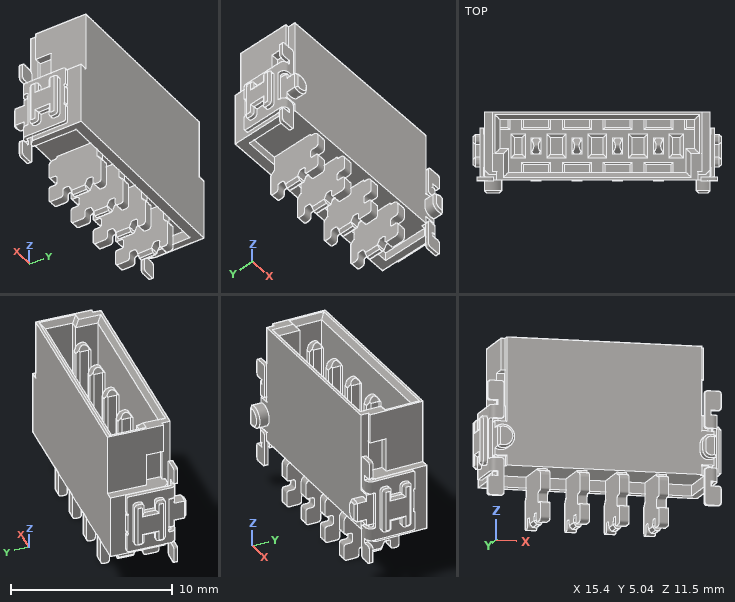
import cadquery as cq
import math


shroud_half_x = 6.48
shroud_half_y = 2.12
shroud_top = 8.8
shell_front_y = -1.59
front_plate_half_x = 6.24
front_plate_bottom = 0.7
side_recess_y = -0.46
side_recess_x = 5.96
side_recess_top = 6.8

ear_half_x = 7.01
ear_front_y = -1.78
ear_top = 4.5
ear_corner = 0.3
channel_back_y = 1.4

rim_half_x = 6.35
rim_key_half_x = 5.82
rim_half_y = 1.95
rim_key_y = -0.48
lead_in = 0.31
lead_in_depth = 0.35
floor_z = 2.78

pitch = 2.53
pin_count = 4
middle_pocket = (1.17, 1.47)
end_pocket_width = 0.9
end_pocket_x = 4.9
middle_pocket_slope = 0.22
middle_pocket_depth = 1.08
edge_pocket_width = 1.8
edge_pocket_y = 1.02
edge_pocket_slope = 0.12
edge_pocket_depth = 0.93

pin_width = 0.62
post_depth = 1.0
post_corner_x = 0.15
post_corner_y = 0.22
embed = 0.15
post_base_height = 0.15
post_top = 8.45
tip_bevel = 0.17
tip_bevel_height = 0.37
tail_bottom = -2.65
tail_front_y = -2.16
tail_back_y = 1.7

clip_bottom = 0.3
clip_z = (ear_top + clip_bottom) / 2
clip_half_z = ear_top - clip_z
sheet = 0.25
ear_gap = 0.03
clip_inner_x = ear_half_x + ear_gap
clip_outer_x = clip_inner_x + sheet
clip_back_y = 1.13
clip_corner = 0.12
clip_front_y = tail_front_y
bend_radius = 0.39
gap_half_z = 1.25
gap_back_y = -1.64
gap_corner = 0.1
foot_inner_x = 6.42
foot_outer_x = 7.47
foot_reach = 3.61
foot_slot_width = 0.3
foot_slot_x = 6.82
foot_round = 0.19

peg_slab_half_z = 1.08
peg_center_x = 6.65
peg_radius = 0.74
peg_length = 0.8
peg_tip_chamfer = 0.15
key_peg_inner_x = 6.13
key_peg_corner = 0.5

pad_half_x = 7.72
pad_half_z = 1.55
pad_back_y = 0.73
pad_front_y = -1.31
pad_leg_width = 0.63
pad_leg_round = 0.23
pad_bar_half_z = 0.85
pad_chamfer = 0.17


def box(x0, x1, y0, y1, z0, z1):
    return cq.Workplane("XY").box(x1 - x0, y1 - y0, z1 - z0, centered=False).translate((x0, y0, z0))


def both_ends(solid):
    return solid.union(solid.mirror("YZ"))


def row(count):
    """X places of a centred row at the pin pitch."""
    return [(i - (count - 1) / 2) * pitch for i in range(count)]


def cavity_outline(z, inset):
    side = rim_half_x - inset
    key = rim_key_half_x - inset
    step = rim_key_y + inset
    back = rim_half_y - inset
    points = [
        (-key, -back), (key, -back), (key, step), (side, step),
        (side, back), (-side, back), (-side, step), (-key, step),
    ]
    return cq.Workplane("XY").workplane(offset=z).polyline(points).close()


def cavity():
    well = cavity_outline(floor_z, lead_in).extrude(shroud_top - floor_z)
    bottom = cavity_outline(shroud_top - lead_in_depth, lead_in).wire().val()
    top = cavity_outline(shroud_top, 0).wire().val()
    return well.union(cq.Workplane(cq.Solid.makeLoft([bottom, top], True)))


def pocket(x, y, size_x, size_y, slope, depth):
    """Tapered pocket, widest at the cavity floor."""
    return (
        cq.Workplane("XY").workplane(offset=floor_z).center(x, y).rect(size_x, size_y)
        .workplane(offset=-depth).rect(size_x - 2 * slope, size_y - 2 * slope)
        .loft(ruled=True)
    )


def floor_pockets():
    size_x, size_y = middle_pocket
    places = [(x, size_x) for x in row(pin_count - 1)]
    places += [(-end_pocket_x, end_pocket_width), (end_pocket_x, end_pocket_width)]
    pockets = [
        pocket(x, 0, width, size_y, middle_pocket_slope, middle_pocket_depth) for x, width in places
    ]

    wall_y = rim_half_y - lead_in
    side_x = rim_half_x - lead_in
    within = box(-side_x, side_x, -wall_y, wall_y, 0, floor_z)
    depth_y = 2 * (wall_y - edge_pocket_y)
    edge = [(x, wall_y) for x in row(pin_count + 2)] + [(x, -wall_y) for x in row(pin_count)]
    for x, y in edge:
        trough = pocket(x, y, edge_pocket_width, depth_y, edge_pocket_slope, edge_pocket_depth)
        pockets.append(trough.intersect(within))
    return pockets


def shroud():
    body = box(-shroud_half_x, shroud_half_x, shell_front_y, shroud_half_y, 0, shroud_top)
    recess = box(side_recess_x, shroud_half_x, shell_front_y, side_recess_y, 0, side_recess_top)
    body = body.cut(both_ends(recess))
    base = box(-ear_half_x, ear_half_x, ear_front_y, shroud_half_y, 0, ear_top)
    base = base.edges("|Z and <Y").chamfer(ear_corner)
    channel = box(-shroud_half_x, shroud_half_x, ear_front_y, channel_back_y, 0, front_plate_bottom)
    front = box(-front_plate_half_x, front_plate_half_x, -shroud_half_y, shell_front_y,
                front_plate_bottom, shroud_top)
    slab = box(-ear_half_x, ear_half_x, -shroud_half_y, ear_front_y + ear_corner,
               clip_z - peg_slab_half_z, clip_z + peg_slab_half_z)
    body = body.union(base).union(front).union(slab).cut(cavity()).cut(channel)
    for recessed in floor_pockets():
        body = body.cut(recessed)
    return body


def pegs():
    """Locating pegs: a cylinder at one end, a narrower keyed shape at the other, flat at the ears."""
    tip_y = -shroud_half_y - peg_length
    low_z, high_z = clip_z - peg_radius, clip_z + peg_radius
    pin_round = (
        cq.Workplane("XZ", origin=(0, -shroud_half_y, 0))
        .pushPoints([(-peg_center_x, clip_z), (peg_center_x, clip_z)]).circle(peg_radius).extrude(peg_length)
    )
    locating = pin_round.intersect(box(-ear_half_x, 0, tip_y, -shroud_half_y, low_z, high_z))
    keyed = box(key_peg_inner_x, peg_center_x, tip_y, -shroud_half_y, low_z, high_z)
    keyed = keyed.edges("|Y and <X").fillet(key_peg_corner)
    keyed = keyed.union(pin_round.intersect(
        box(peg_center_x, ear_half_x, tip_y, -shroud_half_y, low_z, high_z)
    ))
    return [peg.faces("<Y").chamfer(peg_tip_chamfer) for peg in (locating, keyed)]


def post():
    """Contact post: rectangular base, bevelled corners, and a rounded tip thinned in X."""
    side = pin_width / 2
    edge = post_depth / 2
    base = box(-side, side, -edge, edge, floor_z - embed, floor_z + post_base_height)
    flat_x, flat_y = side - post_corner_x, edge - post_corner_y
    blade = (
        cq.Workplane("XY").workplane(offset=floor_z)
        .polyline([
            (flat_x, -edge), (side, -flat_y), (side, flat_y), (flat_x, edge),
            (-flat_x, edge), (-side, flat_y), (-side, -flat_y), (-flat_x, -edge),
        ])
        .close().extrude(post_top - floor_z)
    )
    shoulder_y, ridge_y = 0.31, 0.03
    edge_drop, shoulder_drop = 0.55, 0.23
    arc_y, arc_drop = 0.19, 0.08
    edge_z, shoulder_z, arc_z = post_top - edge_drop, post_top - shoulder_drop, post_top - arc_drop
    round_tip = (
        cq.Workplane("YZ").moveTo(-edge, floor_z).lineTo(-edge, edge_z).lineTo(-shoulder_y, shoulder_z)
        .threePointArc((-arc_y, arc_z), (-ridge_y, post_top)).lineTo(ridge_y, post_top)
        .threePointArc((arc_y, arc_z), (shoulder_y, shoulder_z)).lineTo(edge, edge_z)
        .lineTo(edge, floor_z).close().extrude(side, both=True)
    )
    thin_tip = (
        cq.Workplane("XZ")
        .polyline([
            (-side, floor_z), (-side, post_top - tip_bevel_height), (-side + tip_bevel, post_top),
            (side - tip_bevel, post_top), (side, post_top - tip_bevel_height), (side, floor_z),
        ])
        .close().extrude(edge, both=True)
    )
    return base.union(blade.intersect(round_tip).intersect(thin_tip))


def edge_near(y, z):
    """Selector for the pin edge that runs along X at the given Y and Z."""
    reach = 0.02
    return cq.selectors.BoxSelector((-reach, y - reach, z - reach), (reach, y + reach, z + reach))


def tail():
    """Flat solder tail: two legs, a short tab between them and a notch in front."""
    neck_y = channel_back_y
    back_shoulder, back_slope_end = -0.51, -0.82
    leg_inner_y = 1.11
    crotch_z = -2.0
    tab_half_y, tab_root_half_y, tab_slope_z = 0.51, 0.68, -2.4
    prong_top, prong_bottom, root_y = 0.52, -0.8, -1.55
    notch_y, lower_prong_top = -1.56, -1.5
    leg_round, crotch_round, notch_round = 0.2, 0.14, 0.17
    prong_round, root_round = 0.37, 0.15

    half = pin_width / 2
    root_z = front_plate_bottom + embed
    blank = (
        cq.Workplane("YZ")
        .polyline([
            (neck_y, root_z), (neck_y, back_shoulder), (tail_back_y, back_slope_end),
            (tail_back_y, tail_bottom), (tail_front_y, tail_bottom), (tail_front_y, prong_top),
            (root_y, prong_top), (root_y, root_z),
        ])
        .close().extrude(half, both=True)
    )
    blank = blank.edges("|X and <Z").fillet(leg_round)
    blank = blank.edges(edge_near(tail_front_y, prong_top)).fillet(prong_round)
    blank = blank.edges(edge_near(root_y, prong_top)).fillet(root_round)

    notch = box(-half, half, tail_front_y, notch_y, lower_prong_top, prong_bottom)
    notch = notch.edges("|X and >Y").fillet(notch_round)
    blank = blank.cut(notch)
    for z in (prong_bottom, lower_prong_top):
        blank = blank.edges(edge_near(tail_front_y, z)).fillet(notch_round)

    crotch = (
        cq.Workplane("YZ")
        .polyline([
            (tab_half_y, tail_bottom), (tab_half_y, tab_slope_z), (tab_root_half_y, crotch_z),
            (leg_inner_y, crotch_z), (leg_inner_y, tail_bottom),
        ])
        .close().extrude(half, both=True)
        .edges("|X and >Z").fillet(crotch_round)
    )
    blank = blank.cut(crotch).cut(crotch.mirror("XZ"))
    for y in (leg_inner_y, -leg_inner_y):
        blank = blank.edges(edge_near(y, tail_bottom)).fillet(leg_round)

    bevel_height, bevel = 0.23, 0.19
    wedge = (
        cq.Workplane("XZ")
        .polyline([(half, tail_bottom), (half, tail_bottom + bevel_height), (half - bevel, tail_bottom)])
        .close().extrude(tab_half_y, both=True)
    )
    return blank.cut(both_ends(wedge))


def clip():
    """Right-hand bent sheet clip with its raised H-shaped pad."""
    bend_x = clip_outer_x - bend_radius
    bend_y = clip_front_y + bend_radius
    inner_radius = bend_radius - sheet
    diagonal = math.sqrt(0.5)
    sheet_metal = (
        cq.Workplane("XY").workplane(offset=clip_z - clip_half_z)
        .moveTo(clip_inner_x, clip_back_y).lineTo(clip_outer_x, clip_back_y).lineTo(clip_outer_x, bend_y)
        .threePointArc((bend_x + bend_radius * diagonal, bend_y - bend_radius * diagonal),
                       (bend_x, clip_front_y))
        .lineTo(foot_slot_x, clip_front_y).lineTo(foot_slot_x, clip_front_y + sheet)
        .lineTo(bend_x, clip_front_y + sheet)
        .threePointArc((bend_x + inner_radius * diagonal, bend_y - inner_radius * diagonal),
                       (clip_inner_x, bend_y))
        .close().extrude(2 * clip_half_z)
        .edges("|X and >Y").fillet(clip_corner)
    )
    gap = box(foot_inner_x, clip_outer_x, clip_front_y, gap_back_y, clip_z - gap_half_z, clip_z + gap_half_z)
    sheet_metal = sheet_metal.cut(gap.edges("|X and >Y").fillet(gap_corner))

    nick_radius, nick_half_z, shear = 0.1, 0.73, 0.08
    nicks = (
        cq.Workplane("YZ").workplane(offset=clip_inner_x)
        .pushPoints([(clip_back_y, clip_z - nick_half_z), (clip_back_y, clip_z + nick_half_z)])
        .circle(nick_radius).extrude(sheet)
    )
    shear_cut = (
        cq.Workplane("XY").workplane(offset=clip_z - nick_half_z)
        .polyline([(clip_outer_x, clip_back_y - shear), (clip_outer_x, clip_back_y),
                   (clip_inner_x, clip_back_y)])
        .close().extrude(2 * nick_half_z)
    )
    sheet_metal = sheet_metal.cut(nicks).cut(shear_cut)

    anchor = box(ear_half_x, clip_outer_x, pad_front_y, pad_back_y,
                 clip_z - pad_bar_half_z, clip_z + pad_bar_half_z)

    for direction in (-1, 1):
        sheet_metal = sheet_metal.union(foot(direction))
    return sheet_metal.union(pad()).union(anchor)


def foot(direction):
    """Solder foot in front of the clip, reaching up (+1) or down (-1) from the bend."""
    tip = clip_half_z + foot_slot_width
    strip = (
        cq.Workplane("XZ", origin=(0, clip_front_y + sheet, 0))
        .polyline([
            (foot_inner_x, gap_half_z), (foot_inner_x, foot_reach), (foot_outer_x, foot_reach),
            (foot_outer_x, tip), (foot_slot_x, tip), (foot_slot_x, clip_half_z),
            (clip_outer_x - bend_radius, clip_half_z), (clip_outer_x - bend_radius, gap_half_z),
        ])
        .close().extrude(sheet)
    )
    strip = strip.edges("|Y and (<X or >X)").fillet(foot_round)
    if direction < 0:
        strip = strip.mirror("XY")
    return strip.translate((0, 0, clip_z))


def pad():
    """Raised H on the outer face of the clip: two legs with rounded ends and a crossbar."""
    height = pad_half_x - clip_outer_x
    legs = cq.Workplane("YZ", origin=(clip_outer_x, 0, clip_z))
    leg_y = (pad_back_y - pad_leg_width / 2, pad_front_y + pad_leg_width / 2)
    legs = legs.pushPoints([(y, 0) for y in leg_y]).rect(pad_leg_width, 2 * pad_half_z).extrude(height)
    legs = legs.edges("|X").fillet(pad_leg_round)
    bar = box(clip_outer_x, pad_half_x, leg_y[1], leg_y[0], clip_z - pad_bar_half_z, clip_z + pad_bar_half_z)
    return legs.union(bar).faces(">X").chamfer(pad_chamfer)


result = shroud()
for peg in pegs():
    result = result.union(peg)
pin = post()
pin_tail = tail()
for x in row(pin_count):
    result = result.union(pin.translate((x, 0, 0)))
    result = result.union(pin_tail.translate((x, 0, 0)))
result = result.union(both_ends(clip()))